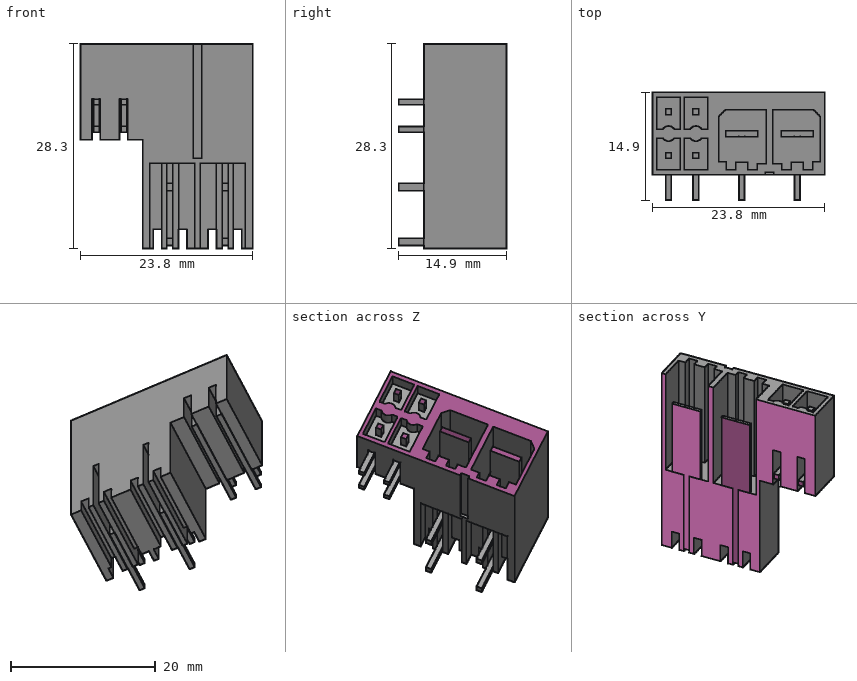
import cadquery as cq

LENGTH = 23.83
DEPTH = 11.43
HEIGHT = 28.3
STEP_X = 8.6
STEP_Z = 15.03
LEG_REACH = 3.48

SIGNAL_X = 2.24
SIGNAL_PITCH = 3.8
SIGNAL_COLUMNS = [SIGNAL_X, SIGNAL_X + SIGNAL_PITCH]
ROWS = [-1, 1]
SIGNAL_PIN = 0.82
SIGNAL_TIP_Z = 27.03
SIGNAL_CAVITY_WIDTH = 3.23
SIGNAL_CAVITY_DEPTH = 4.4
SIGNAL_FRONT_WALL = 0.7
SIGNAL_MID_Y = DEPTH / 2
SIGNAL_WEB_HALF = SIGNAL_MID_Y - SIGNAL_FRONT_WALL - SIGNAL_CAVITY_DEPTH
KEY_HALF_WIDTH = 0.8
KEY_HEIGHT = 0.42
SIGNAL_ROW_OFFSET = 3.03
SIGNAL_SLOT_TOP = 20.65
SIGNAL_SLOT_LEFT = 0.6
SIGNAL_SLOT_RIGHT = 0.5
UPPER_LEG_TOP = SIGNAL_SLOT_TOP
LOWER_LEG_TOP = 16.87
CAVITY_FLOOR = 0.85
SIGNAL_FLOOR_Z = SIGNAL_SLOT_TOP + CAVITY_FLOOR

POWER_X = 16.2
SIDES = [-1, 1]
POWER_PIN_X = 3.82
POWER_PIN_WIDTH = 0.8
BLADE_WIDTH = 4.41
BLADE_THICKNESS = 0.82
BLADE_Y = 5.72
BLADE_TIP_Z = 23.77
POWER_LEG_HEIGHT = 1.05
POWER_LEG_TOPS = [9.03, 1.45]

POWER_CAVITY_INNER = 0.42
POWER_CAVITY_OUTER = 7.02
POWER_CAVITY_BACK = 9.0
POWER_CAVITY_CHAMFER = 0.93
INNER_LEDGE_Y = 1.53
OUTER_LEDGE_Y = 1.85
MIDDLE_LEDGE_Y = 1.73
KEYWAY_Y = 0.7
INNER_KEYWAY = (1.67, 3.0)
OUTER_KEYWAY = (4.67, 5.97)

POCKET_TOP = 11.77
POCKET_DEPTH = 1.65
RIB_SETBACK = 0.42
INNER_POCKET = (0.37, 2.6)
OUTER_POCKET = (4.95, 6.57)
NOTCH_WIDTH = 1.13
NOTCH_TOP = 2.65
POWER_FLOOR_Z = POCKET_TOP + CAVITY_FLOOR

GROOVE_WIDTH = 1.2
GROOVE_DEPTH = 0.4
GROOVE_BOTTOM = 12.48


def block(x_range, y_range, z_range):
    """Box between two limits on each axis, given in either order."""
    ranges = [sorted(limits) for limits in (x_range, y_range, z_range)]
    sizes = [high - low for low, high in ranges]
    corner = tuple(low for low, high in ranges)
    return cq.Workplane("XY").box(*sizes, centered=False).translate(corner)


def around(center, width):
    """Limits of a span of the given width about its center."""
    return (center - width / 2, center + width / 2)


def power_span(side, offsets):
    """Limits in X of a span of offsets on one side of the power mirror plane."""
    return tuple(POWER_X + side * offset for offset in offsets)


def signal_cavity(x, row):
    """Cavity in the front (row -1) or back (row 1) row, with a round key on its inner wall."""
    left, right = around(x, SIGNAL_CAVITY_WIDTH)
    inner_y = SIGNAL_MID_Y + row * SIGNAL_WEB_HALF
    outer_y = inner_y + row * SIGNAL_CAVITY_DEPTH
    return (
        cq.Workplane("XY", origin=(0, 0, SIGNAL_FLOOR_Z))
        .moveTo(left, outer_y)
        .lineTo(left, inner_y)
        .lineTo(x - KEY_HALF_WIDTH, inner_y)
        .threePointArc((x, inner_y + row * KEY_HEIGHT), (x + KEY_HALF_WIDTH, inner_y))
        .lineTo(right, inner_y)
        .lineTo(right, outer_y)
        .close()
        .extrude(HEIGHT - SIGNAL_FLOOR_Z)
    )


def power_cavity(side):
    """Cavity with a chamfered outer back corner and two keyways in its front wall."""
    outline = [
        (POWER_CAVITY_INNER, POWER_CAVITY_BACK),
        (POWER_CAVITY_INNER, INNER_LEDGE_Y),
        (INNER_KEYWAY[0], INNER_LEDGE_Y),
        (INNER_KEYWAY[0], KEYWAY_Y),
        (INNER_KEYWAY[1], KEYWAY_Y),
        (INNER_KEYWAY[1], MIDDLE_LEDGE_Y),
        (OUTER_KEYWAY[0], MIDDLE_LEDGE_Y),
        (OUTER_KEYWAY[0], KEYWAY_Y),
        (OUTER_KEYWAY[1], KEYWAY_Y),
        (OUTER_KEYWAY[1], OUTER_LEDGE_Y),
        (POWER_CAVITY_OUTER, OUTER_LEDGE_Y),
        (POWER_CAVITY_OUTER, POWER_CAVITY_BACK - POWER_CAVITY_CHAMFER),
        (POWER_CAVITY_OUTER - POWER_CAVITY_CHAMFER, POWER_CAVITY_BACK),
    ]
    points = [(POWER_X + side * offset, y) for offset, y in outline]
    floor = cq.Workplane("XY", origin=(0, 0, POWER_FLOOR_Z))
    return floor.polyline(points).close().extrude(HEIGHT - POWER_FLOOR_Z)


def signal_slot(x):
    """Slot for the solder legs of one column, open below and running from front to back."""
    return block((x - SIGNAL_SLOT_LEFT, x + SIGNAL_SLOT_RIGHT), (0, DEPTH), (STEP_Z, SIGNAL_SLOT_TOP))


def cut_power_base(body, side):
    """Cut the front pockets, rib setback, rear notches and power pin slot on one side."""
    notches = [
        (INNER_POCKET[1] - NOTCH_WIDTH, INNER_POCKET[1]),
        (OUTER_POCKET[0], OUTER_POCKET[0] + NOTCH_WIDTH),
    ]
    for pocket in (INNER_POCKET, OUTER_POCKET):
        body = body.cut(block(power_span(side, pocket), (0, POCKET_DEPTH), (0, POCKET_TOP)))
    rib_span = power_span(side, (INNER_POCKET[1], OUTER_POCKET[0]))
    body = body.cut(block(rib_span, (0, RIB_SETBACK), (0, POCKET_TOP)))
    for notch in notches:
        body = body.cut(block(power_span(side, notch), (0, DEPTH), (0, NOTCH_TOP)))
    slot_x = around(POWER_X + side * POWER_PIN_X, POWER_PIN_WIDTH)
    return body.cut(block(slot_x, (0, DEPTH), (0, POCKET_TOP)))


def signal_pin(x, row):
    """Bent square pin; the front row uses the upper leg and the back row the lower leg."""
    y = SIGNAL_MID_Y + row * SIGNAL_ROW_OFFSET
    leg_top = UPPER_LEG_TOP if row < 0 else LOWER_LEG_TOP
    leg_bottom = leg_top - SIGNAL_PIN
    pin_x = around(x, SIGNAL_PIN)
    stem = block(pin_x, around(y, SIGNAL_PIN), (leg_bottom, SIGNAL_TIP_Z))
    leg = block(pin_x, (-LEG_REACH, y), (leg_bottom, leg_top))
    return stem.union(leg)


def power_pin(side):
    """Wide contact blade on a narrow stem that carries two solder legs."""
    x = POWER_X + side * POWER_PIN_X
    stem_x = around(x, POWER_PIN_WIDTH)
    blade_y = around(BLADE_Y, BLADE_THICKNESS)
    stem_bottom = min(POWER_LEG_TOPS) - POWER_LEG_HEIGHT
    pin = block(around(x, BLADE_WIDTH), blade_y, (POWER_FLOOR_Z, BLADE_TIP_Z))
    pin = pin.union(block(stem_x, blade_y, (stem_bottom, POWER_FLOOR_Z)))
    for leg_top in POWER_LEG_TOPS:
        pin = pin.union(block(stem_x, (-LEG_REACH, BLADE_Y), (leg_top - POWER_LEG_HEIGHT, leg_top)))
    return pin


def make_housing(pins):
    """Housing with its cavities, slots and groove, and a matching hole for every pin."""
    body = block((0, LENGTH), (0, DEPTH), (STEP_Z, HEIGHT))
    body = body.union(block((STEP_X, LENGTH), (0, DEPTH), (0, STEP_Z)))
    for x in SIGNAL_COLUMNS:
        body = body.cut(signal_slot(x))
        for row in ROWS:
            body = body.cut(signal_cavity(x, row))
    for side in SIDES:
        body = body.cut(power_cavity(side))
        body = cut_power_base(body, side)
    body = body.cut(block(around(POWER_X, GROOVE_WIDTH), (0, GROOVE_DEPTH), (GROOVE_BOTTOM, HEIGHT)))
    for pin in pins:
        body = body.cut(pin)
    return body


signal_pins = [signal_pin(x, row) for x in SIGNAL_COLUMNS for row in ROWS]
power_pins = [power_pin(side) for side in SIDES]
pins = signal_pins + power_pins
housing = make_housing(pins)

result = cq.Compound.makeCompound([housing.val(), *[pin.val() for pin in pins]])